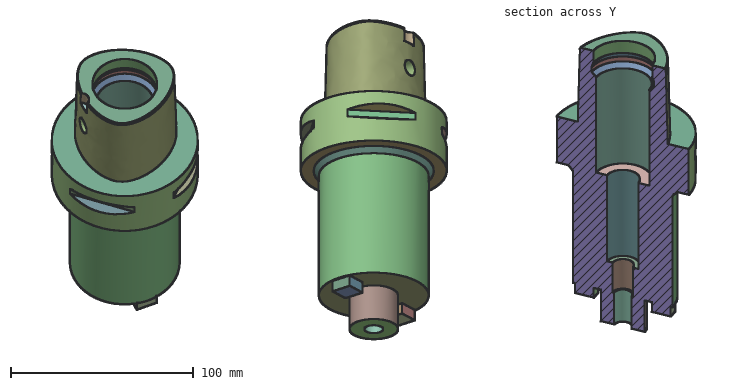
import cadquery as cq
import math

total_height = 173.0
flange_top = 124.9
flange_bottom = 95.2
collar_bottom = 92.0
body_bottom = 20.2
lug_bottom = 14.0

flange_radius = 40.0
collar_radius = 32.9
body_radius = 30.1
pilot_radius = 13.3

shank_base_radius = 27.9
shank_top_radius = 26.6
lobe_height = 1.9
shank_chamfer_height = 1.0
shank_chamfer_width = 0.5
outline_points = 72

mouth_radius = 17.6
mouth_depth = 7.8
undercut_radius = 18.7
undercut_start_depth = 10.7
undercut_end_depth = 13.8
main_bore_radius = 16.0
main_bore_floor = 95.2
screw_bore_radius = 9.3
screw_bore_floor = 39.8
thread_radius = 6.0
thread_floor = 20.8
through_radius = 5.2

groove_flat_distance = 35.3
groove_center_height = 113.0
groove_floor_width = 4.0
groove_mouth_width = 9.0

lug_outer_x = 28.9
lug_inner_x = 17.5
lug_width = 12.0

notch_radius = 4.5
notch_depth = 8.1
notch_inner_y = -22.0
side_hole_radius = 4.5
side_hole_height = 150.0
side_hole_floor_y = -18.2


def lobed_wire(mean_radius, height):
    """Closed constant-width outline with one lobe pointing to +Y."""
    points = []
    for i in range(outline_points):
        angle = 2 * math.pi * i / outline_points
        reach = mean_radius + lobe_height * math.cos(3 * angle)
        slope = -3 * lobe_height * math.sin(3 * angle)
        along = reach * math.cos(angle) - slope * math.sin(angle)
        across = reach * math.sin(angle) + slope * math.cos(angle)
        points.append(cq.Vector(-across, along, height))
    return cq.Wire.assembleEdges([cq.Edge.makeSpline(points, periodic=True)])


def make_shank():
    chamfer_start = total_height - shank_chamfer_height
    base = lobed_wire(shank_base_radius, flange_top)
    shoulder = lobed_wire(shank_top_radius, chamfer_start)
    tip = lobed_wire(shank_top_radius - shank_chamfer_width, total_height)
    taper = cq.Solid.makeLoft([base, shoulder], True)
    chamfer = cq.Solid.makeLoft([shoulder, tip], True)
    return cq.Workplane(obj=taper).union(cq.Workplane(obj=chamfer))


def make_turned_body():
    return (
        cq.Workplane("XZ")
        .polyline([
            (0, 0),
            (pilot_radius, 0),
            (pilot_radius, body_bottom),
            (body_radius, body_bottom),
            (body_radius, collar_bottom),
            (collar_radius, flange_bottom),
            (flange_radius, flange_bottom),
            (flange_radius, flange_top),
            (0, flange_top),
        ])
        .close()
        .revolve(360, (0, 0, 0), (0, 1, 0))
    )


def make_bore():
    cone_bottom = total_height - undercut_end_depth - (undercut_radius - main_bore_radius)
    return (
        cq.Workplane("XZ")
        .polyline([
            (0, 0),
            (through_radius, 0),
            (through_radius, thread_floor),
            (thread_radius, thread_floor),
            (thread_radius, screw_bore_floor),
            (screw_bore_radius, screw_bore_floor),
            (screw_bore_radius, main_bore_floor),
            (main_bore_radius, main_bore_floor),
            (main_bore_radius, cone_bottom),
            (undercut_radius, total_height - undercut_end_depth),
            (undercut_radius, total_height - undercut_start_depth),
            (mouth_radius, total_height - mouth_depth),
            (mouth_radius, total_height),
            (0, total_height),
        ])
        .close()
        .revolve(360, (0, 0, 0), (0, 1, 0))
    )


def make_gripper_groove(angle):
    """Straight trapezoidal groove across the flange, facing the given angle."""
    floor = groove_floor_width / 2
    mouth = groove_mouth_width / 2
    return (
        cq.Workplane("XZ")
        .polyline([
            (groove_flat_distance, groove_center_height - floor),
            (flange_radius, groove_center_height - mouth),
            (flange_radius, groove_center_height + mouth),
            (groove_flat_distance, groove_center_height + floor),
        ])
        .close()
        .extrude(flange_radius, both=True)
        .rotate((0, 0, 0), (0, 0, 1), angle)
    )


def make_lug(side):
    return (
        cq.Workplane("XY", origin=(0, 0, lug_bottom))
        .center(side * (lug_outer_x + lug_inner_x) / 2, 0)
        .rect(lug_outer_x - lug_inner_x, lug_width)
        .extrude(body_bottom - lug_bottom)
    )


def make_notch():
    return (
        cq.Workplane("XY", origin=(0, notch_inner_y - notch_radius, total_height))
        .circle(notch_radius)
        .extrude(-notch_depth)
    )


def make_side_hole():
    return (
        cq.Workplane("XZ", origin=(0, side_hole_floor_y, side_hole_height))
        .circle(side_hole_radius)
        .extrude(flange_radius + side_hole_floor_y)
    )


result = make_turned_body().union(make_shank())
for side in (-1, 1):
    result = result.union(make_lug(side))
result = result.cut(make_bore())
for angle in (45, 135, 225, 315):
    result = result.cut(make_gripper_groove(angle))
result = result.cut(make_notch()).cut(make_side_hole())